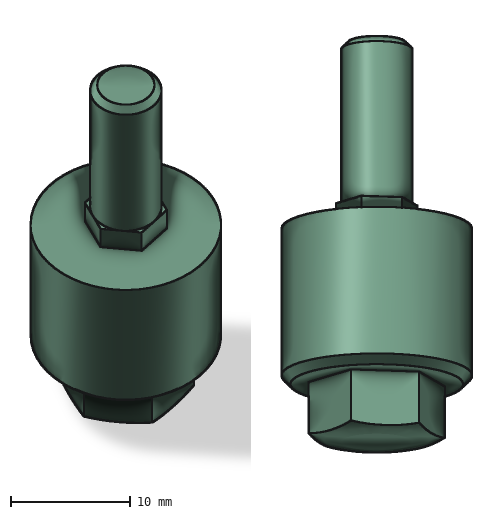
import cadquery as cq
import math

overall_height = 34.49

nut_across_flats = 10.0
nut_height = 5.0
nut_corner_height = 0.6
nut_face_diameter = 6.0

body_diameter = 16.0
body_height = 13.4
body_chamfer = 0.75

collar_across_flats = 6.0
collar_height = 2.1

rod_diameter = 6.0
rod_chamfer = 0.6

body_base = nut_height
collar_base = body_base + body_height
rod_base = collar_base + collar_height
rod_length = overall_height - rod_base


def hex_prism(across_flats, base, height):
    """Hexagonal prism on the axis with two corners on the X axis."""
    across_corners = across_flats / math.cos(math.pi / 6)
    return cq.Workplane("XY").workplane(offset=base).polygon(6, across_corners).extrude(height)


def cylinder(diameter, base, height):
    """Round bar on the axis."""
    return cq.Workplane("XY").workplane(offset=base).circle(diameter / 2).extrude(height)


def make_nut():
    """Hexagon whose lower corners are rounded off by an arc tangent to a flat end face."""
    corner_radius = nut_across_flats / 2 / math.cos(math.pi / 6)
    turned_profile = (
        cq.Workplane("XZ")
        .moveTo(0, 0)
        .lineTo(nut_face_diameter / 2, 0)
        .tangentArcPoint((corner_radius, nut_corner_height), relative=False)
        .lineTo(corner_radius, nut_height)
        .lineTo(0, nut_height)
        .close()
    )
    turned_blank = turned_profile.revolve(360, (0, 0, 0), (0, 1, 0))
    return hex_prism(nut_across_flats, 0, nut_height).intersect(turned_blank)


def make_body():
    """Cylinder with a chamfered lower rim."""
    return cylinder(body_diameter, body_base, body_height).faces("<Z").chamfer(body_chamfer)


def make_collar():
    """Small hexagon between the body and the rod."""
    return hex_prism(collar_across_flats, collar_base, collar_height)


def make_rod():
    """Round rod with a chamfered upper end."""
    return cylinder(rod_diameter, rod_base, rod_length).faces(">Z").chamfer(rod_chamfer)


result = make_nut().union(make_body()).union(make_collar()).union(make_rod())